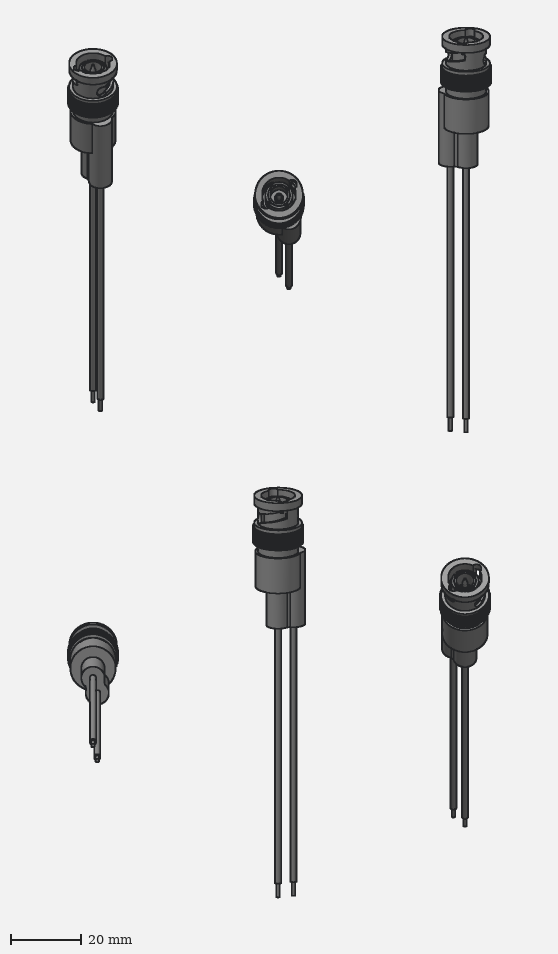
import cadquery as cq
import math

TOTAL_LENGTH = 121.4
TOTAL_WIDTH = 15.2
OVERCUT = 0.6

RIM_RADIUS = 13.7 / 2
RIM_DEPTH = 2.4
NECK_RADIUS = 11.5 / 2
COLLAR_TOP = 8.3
COLLAR_BOTTOM = 14.3
SHELL_BOTTOM = 16.9
MOUTH_RADIUS = 4.9
MOUTH_DEPTH = 9.1

GRIP_RADIUS = 14.5 / 2
GRIP_TOP = 9.3
GRIP_BOTTOM = 14.0
GRIP_TEETH = 56
GRIP_TOOTH_SHARE = 0.5

BAYONET_COUNT = 2
CHANNEL_RADIUS = 1.3
CHANNEL_OFFSET = 4.7
SLOT_HEIGHT = 2.7
SLOT_ENTRY_DEPTH = 4.1
SEAT_DEPTH = 6.3
SEAT_RADIUS = 1.6
SLOT_TURN = 90.0
SLOT_OVERRUN = 10.0

SLEEVE_RADIUS = 3.9
SLEEVE_TOP = 1.7
SLEEVE_SLOT_WIDTH = 0.7
SLEEVE_SLOT_BOTTOM = 4.1
LINER_RADIUS = 3.2
LINER_TOP = 1.3
LINER_BORE_RADIUS = 2.5
LINER_BORE_DEPTH = 6.7
PIN_RADIUS = 0.7
PIN_TIP_RADIUS = 0.2
PIN_TOP = 0.6
PIN_TAPER = 1.8
PIN_BASE_RADIUS = 1.2
PIN_BASE_HEIGHT = 0.7

HOUSING_RADIUS = 13.0 / 2
HOUSING_STEP = 27.4
HOUSING_BOTTOM = 39.2
BOOT_RADIUS = 6.7 / 2
BOOT_SPACING = TOTAL_WIDTH - GRIP_RADIUS - BOOT_RADIUS
WEB_WIDTH = 5.6

INSULATION_RADIUS = 1.8 / 2
INSULATION_BOTTOM = 117.1
CONDUCTOR_RADIUS = 1.1 / 2


def cylinder(radius, top, bottom, x=0.0, y=0.0):
    """Upright cylinder between two depths below the mouth."""
    return cq.Workplane("XY", origin=(x, y, -bottom)).circle(radius).extrude(bottom - top)


def make_grip():
    """Ring of straight teeth around the collar."""
    pitch = 2 * math.pi / GRIP_TEETH
    height = GRIP_BOTTOM - GRIP_TOP
    groove_width = RIM_RADIUS * pitch * (1 - GRIP_TOOTH_SHARE)
    groove_depth = GRIP_RADIUS - RIM_RADIUS
    grooves = (
        cq.Workplane("XY", origin=(0, 0, -GRIP_BOTTOM))
        .polarArray(RIM_RADIUS + groove_depth, 0, 360, GRIP_TEETH)
        .rect(2 * groove_depth, groove_width)
        .extrude(height)
    )
    return cylinder(GRIP_RADIUS, GRIP_TOP, GRIP_BOTTOM).cut(grooves)


def make_bayonet():
    """Cutting bodies of one bayonet track: entry on the -Y side, seat on the -X side."""
    channel = cylinder(CHANNEL_RADIUS, -OVERCUT, SLOT_ENTRY_DEPTH, y=-CHANNEL_OFFSET)

    sweep_angle = SLOT_TURN + SLOT_OVERRUN
    pitch = (SEAT_DEPTH - SLOT_ENTRY_DEPTH) * 360 / SLOT_TURN
    middle_radius = (SLEEVE_RADIUS + RIM_RADIUS) / 2
    slot_depth = RIM_RADIUS - SLEEVE_RADIUS
    helix = cq.Wire.makeHelix(pitch, pitch * sweep_angle / 360, middle_radius)
    slot = (
        cq.Workplane("XZ")
        .center(middle_radius, 0)
        .rect(slot_depth, SLOT_HEIGHT)
        .sweep(cq.Workplane(helix), isFrenet=True)
        .rotate((0, 0, 0), (0, 0, 1), 180)
        .translate((0, 0, -SEAT_DEPTH))
    )

    seat = (
        cq.Workplane("YZ", origin=(-RIM_RADIUS, 0, -SEAT_DEPTH))
        .circle(SEAT_RADIUS)
        .extrude(slot_depth)
    )
    return channel, slot, seat


def make_shell():
    shell = (
        cylinder(RIM_RADIUS, 0, RIM_DEPTH)
        .union(cylinder(NECK_RADIUS, RIM_DEPTH, SHELL_BOTTOM))
        .union(cylinder(RIM_RADIUS, COLLAR_TOP, COLLAR_BOTTOM))
        .union(make_grip())
        .cut(cylinder(MOUTH_RADIUS, 0, MOUTH_DEPTH))
    )
    for index in range(BAYONET_COUNT):
        for cutter in make_bayonet():
            shell = shell.cut(cutter.rotate((0, 0, 0), (0, 0, 1), index * 360 / BAYONET_COUNT))
    return shell


def make_sleeve():
    """Slotted contact sleeve around a taller, unslotted liner."""
    slot_height = SLEEVE_SLOT_BOTTOM - SLEEVE_TOP
    slot = (
        cq.Workplane("XY", origin=(0, 0, -SLEEVE_SLOT_BOTTOM))
        .rect(2 * SLEEVE_RADIUS + OVERCUT, SLEEVE_SLOT_WIDTH)
        .extrude(slot_height)
    )
    sleeve = cylinder(SLEEVE_RADIUS, SLEEVE_TOP, MOUTH_DEPTH)
    for angle in (0, 90):
        sleeve = sleeve.cut(slot.rotate((0, 0, 0), (0, 0, 1), angle))
    return (
        sleeve.union(cylinder(LINER_RADIUS, LINER_TOP, MOUTH_DEPTH))
        .cut(cylinder(LINER_BORE_RADIUS, LINER_TOP, LINER_BORE_DEPTH))
    )


def make_pin():
    """Centre pin with a tapered tip on a wider base."""
    base_top = LINER_BORE_DEPTH - PIN_BASE_HEIGHT
    return (
        cq.Workplane("XZ")
        .moveTo(0, -LINER_BORE_DEPTH)
        .lineTo(PIN_BASE_RADIUS, -LINER_BORE_DEPTH)
        .lineTo(PIN_BASE_RADIUS, -base_top)
        .lineTo(PIN_RADIUS, -base_top)
        .lineTo(PIN_RADIUS, -PIN_TOP - PIN_TAPER)
        .lineTo(PIN_TIP_RADIUS, -PIN_TOP)
        .lineTo(0, -PIN_TOP)
        .close()
        .revolve(360, (0, 0, 0), (0, 1, 0))
    )


def make_connector():
    return make_shell().union(make_sleeve()).union(make_pin())


def make_wire(x):
    """Insulated wire with a bare end."""
    insulation = cylinder(INSULATION_RADIUS, HOUSING_BOTTOM, INSULATION_BOTTOM, x=x)
    return insulation.union(cylinder(CONDUCTOR_RADIUS, INSULATION_BOTTOM, TOTAL_LENGTH, x=x))


def make_lead_housing():
    housing = cylinder(HOUSING_RADIUS, SHELL_BOTTOM, HOUSING_STEP)
    web = (
        cq.Workplane("XY", origin=(BOOT_SPACING / 2, 0, -HOUSING_BOTTOM))
        .rect(BOOT_SPACING, WEB_WIDTH)
        .extrude(HOUSING_BOTTOM - SHELL_BOTTOM)
    )
    housing = housing.union(web)
    for x in (0, BOOT_SPACING):
        housing = housing.union(cylinder(BOOT_RADIUS, SHELL_BOTTOM, HOUSING_BOTTOM, x=x))
        housing = housing.union(make_wire(x))
    return housing


connector = make_connector()
lead_housing = make_lead_housing()

result = cq.Compound.makeCompound([connector.val(), lead_housing.val()])